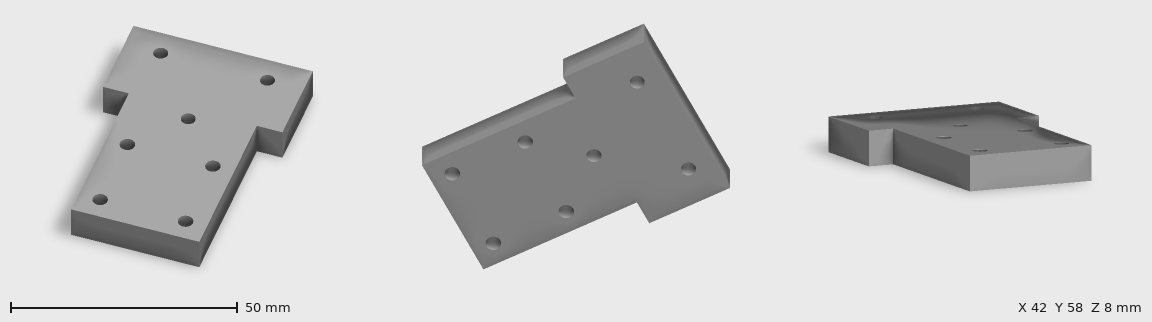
import cadquery as cq

length = 58.0
head_width = 42.0
head_length = 20.0
stem_width = 30.0
thickness = 8.0

small_hole_diameter = 3.3
stem_hole_diameter = 3.4
head_hole_spacing = 25.0
stem_hole_spacing = 20.0
head_row = 6.0
center_hole_row = 23.0
stem_rows = (35.0, 53.0)

head_end = length / 2


def plate():
    """T-shaped plate, centred on the origin, with the head toward +Y."""
    head = cq.Workplane("XY").box(head_width, head_length, thickness)
    head = head.translate((0, head_end - head_length / 2, 0))
    stem = cq.Workplane("XY").box(stem_width, length, thickness)
    return head.union(stem)


def drill(body, points, diameter):
    """Cut holes through the full thickness at the given points."""
    return body.faces(">Z").workplane(origin=(0, 0, 0)).pushPoints(points).hole(diameter)


def row_pair(spacing, row):
    """Two points mirrored about the plate's centreline."""
    return [(side * spacing / 2, head_end - row) for side in (-1, 1)]


small_points = row_pair(head_hole_spacing, head_row)
small_points.append((0, head_end - center_hole_row))

stem_points = []
for stem_row in stem_rows:
    stem_points += row_pair(stem_hole_spacing, stem_row)

result = plate()
result = drill(result, small_points, small_hole_diameter)
result = drill(result, stem_points, stem_hole_diameter)